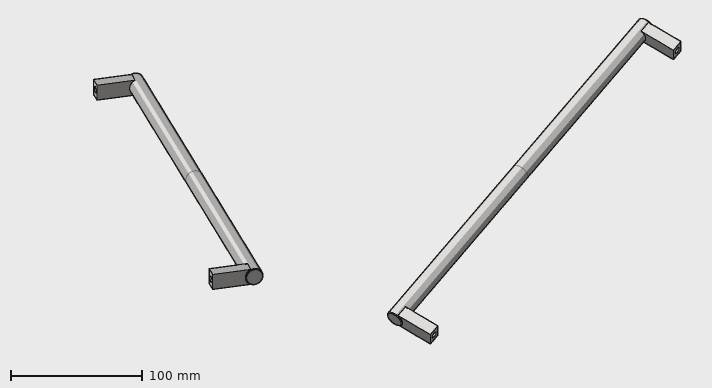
import cadquery as cq

bar_length = 332.0
bar_diameter = 14.0
end_chamfer = 0.5

overall_depth = 40.0
leg_width = 10.0
leg_height = 13.0
leg_inset = 1.0
leg_spacing = bar_length - 2 * leg_inset - leg_width
leg_length = overall_depth - bar_diameter / 2

hole_diameter = 5.0
hole_depth = 13.3


def make_bar():
    """Solid round bar centred on the X axis, chamfered at both ends."""
    bar = cq.Workplane("YZ").circle(bar_diameter / 2).extrude(bar_length / 2, both=True)
    return bar.faces("<X or >X").edges().chamfer(end_chamfer)


def make_leg(center_x):
    """Leg running from the bar axis to its drilled mounting face."""
    leg = cq.Workplane("XY").box(leg_width, leg_length, leg_height)
    leg = leg.faces("<Y").workplane(centerOption="CenterOfMass").hole(hole_diameter, hole_depth)
    return leg.translate((center_x, -leg_length / 2, 0))


result = make_bar()
for side in (-1, 1):
    result = result.union(make_leg(side * leg_spacing / 2))